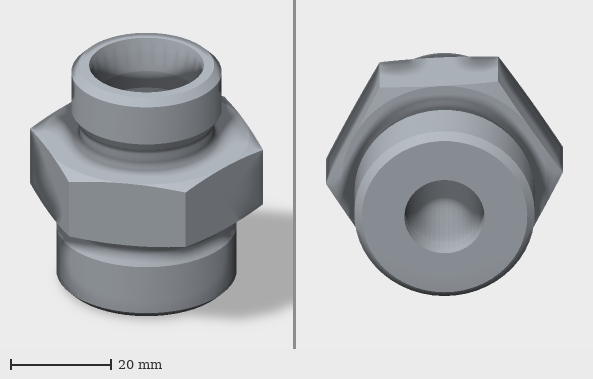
import cadquery as cq
import math

total_height = 48
hex_across_flats = 41.0
hex_bottom = 18.0
hex_top = 32.0
hex_chamfer_angle = 15

lower_diameter = 36
lower_groove_diameter = 33.0
lower_shoulder_z = 11.9

upper_diameter = 30.0
upper_groove_diameter = 27.0
upper_shoulder_z = 38.1

end_chamfer = 1.5
groove_fillet = 1.2
groove_taper_angle = 30

bore_diameter = 16.0
socket_diameter = 20.0
socket_depth = 10.5
mouth_diameter = 22.9
mouth_half_angle = 12


def hexagon():
    """Hexagonal body with conical chamfers on the corners at both ends."""
    height = hex_top - hex_bottom
    flat_radius = hex_across_flats / 2
    corner_radius = flat_radius / math.cos(math.radians(30))
    corner_drop = (corner_radius - flat_radius) * math.tan(math.radians(hex_chamfer_angle))
    prism = (
        cq.Workplane("XY")
        .workplane(offset=hex_bottom)
        .polygon(6, 2 * corner_radius)
        .extrude(height)
        .rotate((0, 0, 0), (0, 0, 1), 30)
    )
    chamfer_envelope = (
        cq.Workplane("XZ")
        .moveTo(0, hex_bottom)
        .lineTo(flat_radius, hex_bottom)
        .lineTo(corner_radius, hex_bottom + corner_drop)
        .lineTo(corner_radius, hex_top - corner_drop)
        .lineTo(flat_radius, hex_top)
        .lineTo(0, hex_top)
        .close()
        .revolve(360, (0, 0), (0, 1))
    )
    return prism.intersect(chamfer_envelope)


def stud(diameter, groove_diameter, end_z, shoulder_z, hex_face_z):
    """Round stud from its chamfered end to the filleted groove beside the hexagon."""
    radius = diameter / 2
    groove_radius = groove_diameter / 2
    outward = math.copysign(1, end_z - hex_face_z)
    taper = math.radians(groove_taper_angle)

    taper_length = (radius - groove_radius) / math.tan(taper)
    corner_z = shoulder_z - outward * taper_length
    tangent = groove_fillet * math.tan(taper / 2)
    blend_start_z = corner_z - outward * tangent

    def blend_point(angle):
        return (
            groove_radius + groove_fillet * (1 - math.cos(angle)),
            blend_start_z + outward * groove_fillet * math.sin(angle),
        )

    quarter = math.radians(45)
    root_middle = (
        groove_radius + groove_fillet * (1 - math.cos(quarter)),
        hex_face_z + outward * groove_fillet * (1 - math.sin(quarter)),
    )
    return (
        cq.Workplane("XZ")
        .moveTo(0, hex_face_z)
        .lineTo(groove_radius + groove_fillet, hex_face_z)
        .threePointArc(root_middle, (groove_radius, hex_face_z + outward * groove_fillet))
        .lineTo(groove_radius, blend_start_z)
        .threePointArc(blend_point(taper / 2), blend_point(taper))
        .lineTo(radius, shoulder_z)
        .lineTo(radius, end_z - outward * end_chamfer)
        .lineTo(radius - end_chamfer, end_z)
        .lineTo(0, end_z)
        .close()
        .revolve(360, (0, 0), (0, 1))
    )


def bore():
    """Through bore with a tube socket and a conical mouth at the upper end."""
    bore_radius = bore_diameter / 2
    socket_radius = socket_diameter / 2
    mouth_radius = mouth_diameter / 2
    mouth_depth = (mouth_radius - socket_radius) / math.tan(math.radians(mouth_half_angle))
    socket_floor = total_height - socket_depth
    return (
        cq.Workplane("XZ")
        .lineTo(bore_radius, 0)
        .lineTo(bore_radius, socket_floor)
        .lineTo(socket_radius, socket_floor)
        .lineTo(socket_radius, total_height - mouth_depth)
        .lineTo(mouth_radius, total_height)
        .lineTo(0, total_height)
        .close()
        .revolve(360, (0, 0), (0, 1))
    )


lower_stud = stud(lower_diameter, lower_groove_diameter, 0, lower_shoulder_z, hex_bottom)
upper_stud = stud(upper_diameter, upper_groove_diameter, total_height, upper_shoulder_z, hex_top)

result = hexagon().union(lower_stud).union(upper_stud).cut(bore())